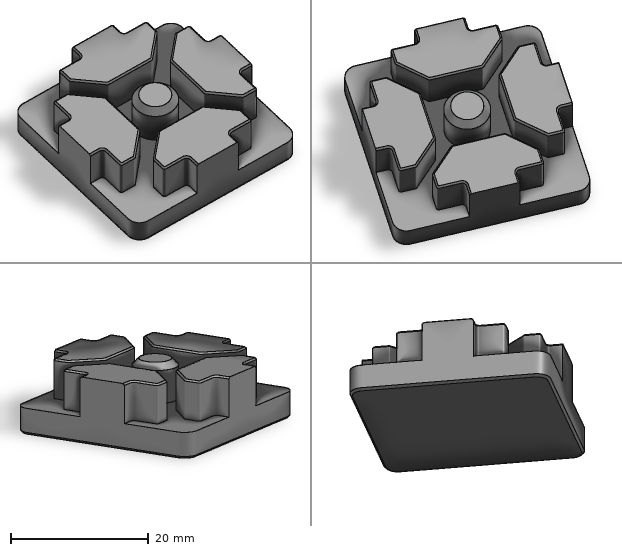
import cadquery as cq

side = 29.8
total_height = 10.0

base_height = 4.0
base_corner_radius = 2.1
base_chamfer = 0.35

stem_half_width = 3.8
wing_half_width = 8.1
wing_outer = 12.58
wing_inner = 9.98
block_inner = 5.95
inner_half_width = wing_half_width - (wing_inner - block_inner)
notch_radius = 0.65
outer_edge_radius = 0.4
block_chamfer = 0.27
block_count = 4

pin_diameter = 6.85
pin_chamfer = 1.0

block_height = total_height - base_height
half_side = side / 2


def make_base():
    plate = cq.Workplane("XY").rect(side, side).extrude(base_height)
    plate = plate.edges("|Z").fillet(base_corner_radius)
    return plate.faces("<Z").chamfer(base_chamfer)


def upright_edges(block, corners):
    """Select the vertical edges of a block at the given corners, mirrored in X."""
    mid_height = base_height + block_height / 2
    points = [(sign * x, y, mid_height) for x, y in corners for sign in (-1, 1)]
    selector = cq.selectors.NearestToPointSelector(points[0])
    for point in points[1:]:
        selector = selector + cq.selectors.NearestToPointSelector(point)
    return block.edges("|Z").edges(selector)


def make_block():
    """Block on the -Y side, its stem flush with the side of the plate.

    The stem first runs past the side and is then trimmed, so that the top
    chamfer leaves the flush outer face plain.
    """
    stem_end = half_side + 2 * block_chamfer
    right_half = [
        (stem_half_width, -stem_end),
        (stem_half_width, -wing_outer),
        (wing_half_width, -wing_outer),
        (wing_half_width, -wing_inner),
        (inner_half_width, -block_inner),
    ]
    left_half = [(-x, y) for x, y in reversed(right_half)]
    block = (
        cq.Workplane("XY", origin=(0, 0, base_height))
        .polyline(right_half + left_half)
        .close()
        .extrude(block_height)
    )
    notch_corners = [(stem_half_width, -wing_outer)]
    outer_corners = [
        (wing_half_width, -wing_outer),
        (wing_half_width, -wing_inner),
        (inner_half_width, -block_inner),
    ]
    block = upright_edges(block, notch_corners).fillet(notch_radius)
    block = upright_edges(block, outer_corners).fillet(outer_edge_radius)
    block = block.faces(">Z").chamfer(block_chamfer)
    plate_space = cq.Workplane("XY").rect(side, side).extrude(total_height)
    return block.intersect(plate_space)


def make_pin():
    pin = cq.Workplane("XY", origin=(0, 0, base_height)).circle(pin_diameter / 2).extrude(block_height)
    return pin.faces(">Z").chamfer(pin_chamfer)


result = make_base().union(make_pin())
block = make_block()
for index in range(block_count):
    angle = index * 360 / block_count
    result = result.union(block.rotate((0, 0, 0), (0, 0, 1), angle))